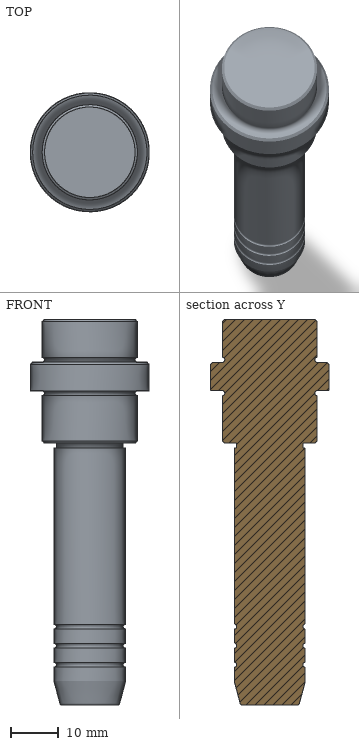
import cadquery as cq
import math

total_length = 81.0
head_radius = 10.0
collar_radius = 12.5
shaft_radius = 7.5
edge_chamfer = 0.5

head_bottom = 55.0
collar_bottom = 66.0
collar_top = 72.0

neck_radius = 7.0
neck_length = 1.0

taper_length = 5.0
taper_angle = math.radians(15)
tip_fillet = 0.5

groove_radius = 0.5
groove_count = 3
groove_pitch = 4.0
first_groove_center = 8.5

profile_plane = cq.Plane(origin=(0, 0, 0), xDir=(-1, 0, 0), normal=(0, 1, 0))


def turned(points):
    """Revolve a closed (radius, height) outline around the Z axis."""
    outline = cq.Workplane(profile_plane).polyline(points).close()
    return outline.revolve(360, (0, 0, 0), (0, 1, 0))


def make_shaft():
    """Shaft with a tapered, rounded tip and a reduced neck under the head."""
    tip_radius = shaft_radius - taper_length * math.tan(taper_angle)
    neck_bottom = head_bottom - neck_length
    shaft = turned([
        (0, 0),
        (tip_radius, 0),
        (shaft_radius, taper_length),
        (shaft_radius, neck_bottom),
        (neck_radius, neck_bottom),
        (neck_radius, head_bottom),
        (0, head_bottom),
    ])
    return shaft.faces("<Z").edges().fillet(tip_fillet)


def make_head():
    """Cylinder chamfered at its top and bottom edges."""
    return turned([
        (0, head_bottom),
        (head_radius - edge_chamfer, head_bottom),
        (head_radius, head_bottom + edge_chamfer),
        (head_radius, total_length - edge_chamfer),
        (head_radius - edge_chamfer, total_length),
        (0, total_length),
    ])


def make_collar():
    """Disc chamfered at its top edge only."""
    return turned([
        (0, collar_bottom),
        (collar_radius, collar_bottom),
        (collar_radius, collar_top - edge_chamfer),
        (collar_radius - edge_chamfer, collar_top),
        (0, collar_top),
    ])


def make_groove(radius, center):
    """Ring of round section that cuts a half-round groove into a cylinder of the given radius."""
    section = cq.Workplane(profile_plane).center(radius, center).circle(groove_radius)
    return section.revolve(360, (-radius, 0, 0), (-radius, 1, 0))


result = make_shaft().union(make_head()).union(make_collar())

for groove_center in (collar_bottom - groove_radius, collar_top + groove_radius):
    result = result.cut(make_groove(head_radius, groove_center))

for index in range(groove_count):
    groove_center = first_groove_center + index * groove_pitch
    result = result.cut(make_groove(shaft_radius, groove_center))